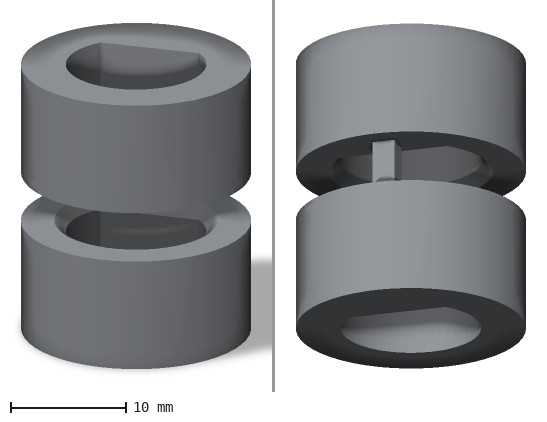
import cadquery as cq

collar_diameter = 20.0
collar_height = 10.0
collar_gap = 4.5

bore_diameter = 12.2
bore_flat_y = 4.15
bore_chamfer = 1.0

post_width = 2.0
post_center_y = 7.0

gap_middle_z = collar_height + collar_gap / 2


def make_bore_cutter():
    """D-shaped prism, as tall as one collar, with its flat on the +Y side."""
    round_bore = cq.Workplane("XY").circle(bore_diameter / 2).extrude(collar_height)
    beyond_flat = (
        cq.Workplane("XY")
        .center(0, bore_flat_y + bore_diameter / 2)
        .rect(bore_diameter, bore_diameter)
        .extrude(collar_height)
    )
    return round_bore.cut(beyond_flat)


def make_lower_collar():
    """Round collar with the D-shaped bore, chamfered at its upper mouth."""
    body = cq.Workplane("XY").circle(collar_diameter / 2).extrude(collar_height)
    bored = body.cut(make_bore_cutter())
    bore_reach = (bore_diameter + collar_diameter) / 4
    around_bore = cq.selectors.BoxSelector(
        (-bore_reach, -bore_reach, 0),
        (bore_reach, bore_reach, 2 * collar_height),
        boundingbox=True,
    )
    return bored.faces(">Z").edges(around_bore).chamfer(bore_chamfer)


def make_post():
    """Square post that spans the gap between the collars."""
    return (
        cq.Workplane("XY", origin=(0, post_center_y, collar_height))
        .rect(post_width, post_width)
        .extrude(collar_gap)
    )


lower_collar = make_lower_collar()
upper_collar = lower_collar.mirror("XY", (0, 0, gap_middle_z))

result = lower_collar.union(make_post()).union(upper_collar)